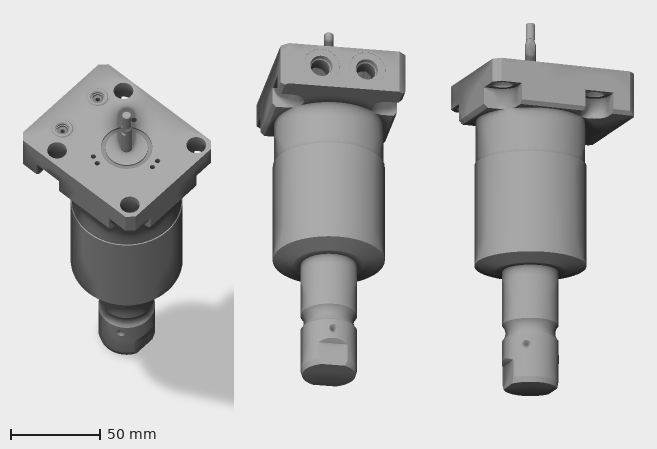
import cadquery as cq
import math

TOTAL_HEIGHT = 212.0

PLATE_LEFT = 50.0
PLATE_HALF_WIDTH = 35.5
PLATE_TOP = 180.0
PLATE_THICKNESS = 25.0
PLATE_BOTTOM = PLATE_TOP - PLATE_THICKNESS
PLATE_CORNER_CHAMFER = 4.0
PLATE_LOWER_CHAMFER = 2.1

BOLT_OFFSET = 27.5
BOLT_HOLE_DIAMETER = 11.0
BOLT_POCKET_RADIUS = 8.5
BOLT_POCKET_HEIGHT = 11.7

RING_OUTER_DIAMETER = 28.8
RING_INNER_DIAMETER = 23.5
RING_DEPTH = 1.0
SMALL_HOLE_CIRCLE_RADIUS = 19.5
SMALL_HOLE_DIAMETER = 3.0
SMALL_HOLE_DEPTH = 6.4
SMALL_HOLE_ANGLES = (0, 15, 120, 135, 240, 255)

PORT_OFFSET = 13.0
PORT_HEIGHT = PLATE_BOTTOM + PLATE_THICKNESS / 2
PORT_SPOT_DIAMETER = 20.8
PORT_SPOT_DEPTH = 0.2
PORT_MOUTH_DIAMETER = 12.5
PORT_MOUTH_END_DIAMETER = 11.7
PORT_MOUTH_DEPTH = 3.0
PORT_BORE_DIAMETER = 10.5
PORT_DEPTH = 14.5

PASSAGE_X = -35.2
PASSAGE_OFFSET = 14.6
PASSAGE_DIAMETER = 2.5
PASSAGE_DEPTH = 14.6
SEAL_CENTER_RADIUS = 4.9
SEAL_SECTION_RADIUS = 1.0
SEAL_PROTRUSION = 0.6
RECESS_DIAMETER = 7.2
RECESS_DEPTH = 1.0
INNER_RECESS_DIAMETER = 6.0
INNER_RECESS_DEPTH = 2.1

NECK_RADIUS = 30.8
BODY_RADIUS = 31.4
BODY_TOP = 129.5
BODY_CONE_TOP = 71.3
BODY_BOTTOM = 67.9
BODY_CONE_END_RADIUS = 20.0

SHAFT_RADIUS = 16.0
GROOVE_TOP = 37.0
GROOVE_BOTTOM = 27.4
GROOVE_DEPTH = 2.0
SHAFT_TIP_RADIUS = 15.0
SHAFT_TIP_HEIGHT = 3.2
FLAT_HALF_SPAN = 13.5
FLAT_TOP = 13.4
DIMPLE_RADIUS = 2.5
DIMPLE_HEIGHT = 21.6
DIMPLE_ANGLES = (60, 180, 300)

ROD_RADIUS = 6.2 / 2
ROD_SHOULDER = 199.8
ROD_NECK_BOTTOM = 201.5
ROD_NECK_TOP = 202.8
ROD_NECK_RADIUS = 4.9 / 2
ROD_THREAD_RADIUS = 2.5
ROD_TIP_CHAMFER = 0.5
ROD_FLAT_HALF_SPAN = 2.3
ROD_FLAT_BOTTOM = 196.5

SIDES = (-1, 1)
OVERLAP = 2.1


def revolve_profile(profile):
    """Turn a closed (radius, height) profile about the Z axis."""
    return profile.close().revolve(360, (0, 0, 0), (0, 1, 0))


def flat_cut(half_span, radius, ramp_start, end):
    """Cutters for two opposite flats on X, each ending in a 45 degree ramp."""
    outside = radius + OVERLAP
    ramp = math.copysign(outside - half_span, ramp_start - end)
    cutter = (
        cq.Workplane("XZ")
        .moveTo(half_span, end)
        .lineTo(half_span, ramp_start)
        .lineTo(outside, ramp_start + ramp)
        .lineTo(outside, end)
        .close()
        .extrude(radius, both=True)
    )
    return cutter.union(cutter.mirror("YZ"))


def plate_block():
    """Plain rectangular block of the plate's full size."""
    return (
        cq.Workplane("XY", origin=(0, 0, PLATE_BOTTOM))
        .center((PLATE_HALF_WIDTH - PLATE_LEFT) / 2, 0)
        .rect(PLATE_LEFT + PLATE_HALF_WIDTH, 2 * PLATE_HALF_WIDTH)
        .extrude(PLATE_THICKNESS)
    )


def make_plate():
    """Plate with cut corners and a bevelled lower edge on every side but the left."""
    bevelled = plate_block().faces("<Z").edges(">X or <Y or >Y").chamfer(PLATE_LOWER_CHAMFER)
    cornered = plate_block().edges("|Z").chamfer(PLATE_CORNER_CHAMFER)
    return bevelled.intersect(cornered)


def make_dimple(angle):
    """Cutter for a 90 degree conical dimple in the side of the shaft."""
    profile = (
        cq.Workplane("XY", origin=(SHAFT_RADIUS - DIMPLE_RADIUS, 0, DIMPLE_HEIGHT))
        .lineTo(DIMPLE_RADIUS, DIMPLE_RADIUS)
        .lineTo(DIMPLE_RADIUS, 0)
        .close()
    )
    return profile.revolve(360, (0, 0, 0), (1, 0, 0)).rotate((0, 0, 0), (0, 0, 1), angle)


def make_body():
    profile = (
        cq.Workplane("XZ")
        .moveTo(0, PLATE_BOTTOM + OVERLAP)
        .lineTo(NECK_RADIUS, PLATE_BOTTOM + OVERLAP)
        .lineTo(NECK_RADIUS, BODY_TOP)
        .lineTo(BODY_RADIUS, BODY_TOP)
        .lineTo(BODY_RADIUS, BODY_CONE_TOP)
        .lineTo(BODY_CONE_END_RADIUS, BODY_BOTTOM)
        .lineTo(SHAFT_RADIUS, BODY_BOTTOM)
        .lineTo(SHAFT_RADIUS, GROOVE_TOP)
        .threePointArc(
            (SHAFT_RADIUS - GROOVE_DEPTH, (GROOVE_TOP + GROOVE_BOTTOM) / 2),
            (SHAFT_RADIUS, GROOVE_BOTTOM),
        )
        .lineTo(SHAFT_RADIUS, SHAFT_TIP_HEIGHT)
        .lineTo(SHAFT_TIP_RADIUS, 0)
        .lineTo(0, 0)
    )
    body = revolve_profile(profile)
    body = body.cut(flat_cut(FLAT_HALF_SPAN, SHAFT_RADIUS, FLAT_TOP, 0))
    for angle in DIMPLE_ANGLES:
        body = body.cut(make_dimple(angle))
    return body


def make_rod():
    profile = (
        cq.Workplane("XZ")
        .moveTo(0, PLATE_TOP - OVERLAP)
        .lineTo(ROD_RADIUS, PLATE_TOP - OVERLAP)
        .lineTo(ROD_RADIUS, ROD_SHOULDER)
        .lineTo(ROD_NECK_RADIUS, ROD_NECK_BOTTOM)
        .lineTo(ROD_NECK_RADIUS, ROD_NECK_TOP)
        .lineTo(ROD_THREAD_RADIUS, ROD_NECK_TOP)
        .lineTo(ROD_THREAD_RADIUS, TOTAL_HEIGHT - ROD_TIP_CHAMFER)
        .lineTo(ROD_THREAD_RADIUS - ROD_TIP_CHAMFER, TOTAL_HEIGHT)
        .lineTo(0, TOTAL_HEIGHT)
    )
    rod = revolve_profile(profile)
    flats = flat_cut(ROD_FLAT_HALF_SPAN, ROD_RADIUS, ROD_FLAT_BOTTOM, ROD_NECK_BOTTOM)
    return rod.cut(flats.rotate((0, 0, 0), (0, 0, 1), 90))


def top_cut(points, diameter, depth):
    """Vertical cylinders sunk into the top of the plate."""
    start = cq.Workplane("XY", origin=(0, 0, PLATE_TOP - depth))
    return start.pushPoints(points).circle(diameter / 2).extrude(depth + OVERLAP)


def cut_bolt_seats(part):
    reach = PLATE_HALF_WIDTH
    base = cq.Workplane("XY", origin=(0, 0, PLATE_BOTTOM))
    for side_x in SIDES:
        for side_y in SIDES:
            x = side_x * BOLT_OFFSET
            y = side_y * BOLT_OFFSET
            hole = base.center(x, y).circle(BOLT_HOLE_DIAMETER / 2).extrude(PLATE_THICKNESS)
            pocket = base.center(x, y).circle(BOLT_POCKET_RADIUS).extrude(BOLT_POCKET_HEIGHT)
            slot = (
                base.center(x, y + side_y * reach / 2)
                .rect(2 * BOLT_POCKET_RADIUS, reach)
                .extrude(BOLT_POCKET_HEIGHT)
            )
            part = part.cut(hole).cut(pocket.union(slot))
            if side_x > 0:
                end_width = BOLT_POCKET_RADIUS + reach
                end_opening = (
                    base.center(x + reach / 2, y + side_y * (end_width / 2 - BOLT_POCKET_RADIUS))
                    .rect(reach, end_width)
                    .extrude(BOLT_POCKET_HEIGHT)
                )
                part = part.cut(end_opening)
    return part


def cut_top_details(part):
    ring = top_cut([(0, 0)], RING_OUTER_DIAMETER, RING_DEPTH)
    ring = ring.cut(top_cut([(0, 0)], RING_INNER_DIAMETER, RING_DEPTH))
    small_holes = [
        (
            SMALL_HOLE_CIRCLE_RADIUS * math.cos(math.radians(angle)),
            SMALL_HOLE_CIRCLE_RADIUS * math.sin(math.radians(angle)),
        )
        for angle in SMALL_HOLE_ANGLES
    ]
    return part.cut(ring).cut(top_cut(small_holes, SMALL_HOLE_DIAMETER, SMALL_HOLE_DEPTH))


def cut_ports(part):
    shoulder_taper = (PORT_MOUTH_END_DIAMETER - PORT_BORE_DIAMETER) / 2
    for side in SIDES:
        port = (
            cq.Workplane("XY", origin=(-PLATE_LEFT, side * PORT_OFFSET, PORT_HEIGHT))
            .lineTo(0, PORT_SPOT_DIAMETER / 2)
            .lineTo(PORT_SPOT_DEPTH, PORT_SPOT_DIAMETER / 2)
            .lineTo(PORT_SPOT_DEPTH, PORT_MOUTH_DIAMETER / 2)
            .lineTo(PORT_MOUTH_DEPTH, PORT_MOUTH_END_DIAMETER / 2)
            .lineTo(PORT_MOUTH_DEPTH + shoulder_taper, PORT_BORE_DIAMETER / 2)
            .lineTo(PORT_DEPTH, PORT_BORE_DIAMETER / 2)
            .lineTo(PORT_DEPTH, 0)
            .close()
            .revolve(360, (0, 0, 0), (1, 0, 0))
        )
        part = part.cut(port)
    return part


def add_sealed_passages(part):
    centers = [(PASSAGE_X, side * PASSAGE_OFFSET) for side in SIDES]
    seal_height = PLATE_TOP + SEAL_PROTRUSION - SEAL_SECTION_RADIUS
    for x, y in centers:
        seal = cq.Solid.makeTorus(SEAL_CENTER_RADIUS, SEAL_SECTION_RADIUS, cq.Vector(x, y, seal_height))
        part = part.union(cq.Workplane(seal))
    part = part.cut(top_cut(centers, RECESS_DIAMETER, RECESS_DEPTH))
    part = part.cut(top_cut(centers, INNER_RECESS_DIAMETER, INNER_RECESS_DEPTH))
    return part.cut(top_cut(centers, PASSAGE_DIAMETER, PASSAGE_DEPTH))


part = make_plate().union(make_body())
part = cut_bolt_seats(part)
part = cut_top_details(part)
part = cut_ports(part)
part = add_sealed_passages(part)
result = part.union(make_rod())